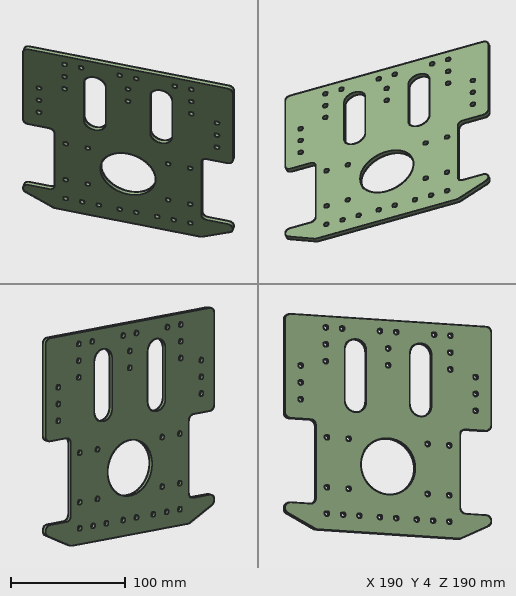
import cadquery as cq

width = 190.0
height = 190.0
thickness = 4.0
corner_radius = 5.0

waist_width = 133.0
head_bottom = 97.5
tip_top = 22.5
tip_bottom = 14.0

bore_diameter = 50.0
bore_height = 60.0
slot_width = 20.0
slot_length = 65.0
slot_offset = 30.0
slot_height = 138.9

hole_diameter = 4.4
hole_pitch = 15.0

top_row_inset = 10.0
top_row_height = height - top_row_inset
head_column_offset = 57.4
side_column_offset = 80.5
side_column_top = 144.5
rect_center_offset = 46.4
rect_width = 20.0
rect_height = 44.5
foot_row_height = 14.5
foot_outer_offset = 56.5


def both_sides(points):
    """Return the points together with their mirror images about X = 0."""
    return points + [(-x, z) for x, z in points]


def column_down(x, top, count):
    """Return a vertical column of hole centers that starts at the top."""
    return [(x, top - i * hole_pitch) for i in range(count)]


def make_blank():
    """Build the plate outline with all its corners rounded."""
    right_edge = [
        (waist_width / 2, 0),
        (width / 2, tip_bottom),
        (width / 2, tip_top),
        (waist_width / 2, tip_top),
        (waist_width / 2, head_bottom),
        (width / 2, head_bottom),
        (width / 2, height),
    ]
    left_edge = [(-x, z) for x, z in reversed(right_edge)]
    return (
        cq.Workplane("XZ")
        .polyline(right_edge + left_edge)
        .close()
        .extrude(thickness / 2, both=True)
        .edges("|Y")
        .fillet(corner_radius)
    )


def make_bore():
    """Build the cutter for the round central opening."""
    return (
        cq.Workplane("XZ")
        .center(0, bore_height)
        .circle(bore_diameter / 2)
        .extrude(thickness, both=True)
    )


def make_slots():
    """Build the cutters for the two upright slots."""
    return (
        cq.Workplane("XZ")
        .pushPoints(both_sides([(slot_offset, slot_height)]))
        .slot2D(slot_length, slot_width, angle=90)
        .extrude(thickness, both=True)
    )


def hole_centers():
    """Collect the centers of every screw hole."""
    mirrored = column_down(head_column_offset, top_row_height, 3)
    mirrored.append((head_column_offset - hole_pitch, top_row_height))

    mirrored += column_down(side_column_offset, side_column_top, 3)

    for x_sign in (-1, 1):
        for z_sign in (-1, 1):
            x = rect_center_offset + x_sign * rect_width / 2
            z = bore_height + z_sign * rect_height / 2
            mirrored.append((x, z))

    mirrored += [(foot_outer_offset - i * hole_pitch, foot_row_height) for i in range(3)]

    mirrored += [(hole_pitch / 2, z) for z in (top_row_height, foot_row_height)]

    on_center = column_down(0, top_row_height - hole_pitch, 2)
    return both_sides(mirrored) + on_center


def make_screw_holes():
    """Build the cutters for all screw holes."""
    return (
        cq.Workplane("XZ")
        .pushPoints(hole_centers())
        .circle(hole_diameter / 2)
        .extrude(thickness, both=True)
    )


result = make_blank().cut(make_bore()).cut(make_slots()).cut(make_screw_holes())